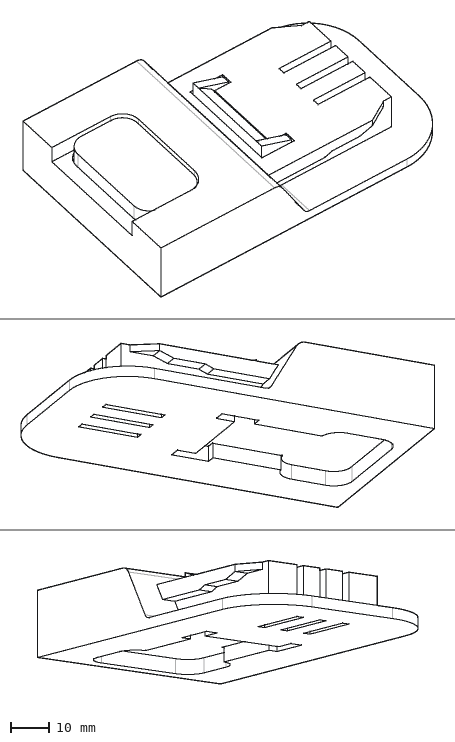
import cadquery as cq
import math

WIDTH = 60.0
LENGTH = 98.0
HEIGHT = 18.0
PLATE_THICKNESS = 2.9
PLATE_CORNER_RADIUS = 16.9
SLOPE_FOOT_Y = 47.8
SLOPE_ANGLE = 60.0
SLOPE_FOOT_RADIUS = 2.0
SLOPE_CREST_RADIUS = 2.9
SLOPE_RUN = (HEIGHT - PLATE_THICKNESS) / math.tan(math.radians(SLOPE_ANGLE))
SLOPE_CREST_Y = SLOPE_FOOT_Y - SLOPE_RUN

RAIL_TOP = 13.9
RAIL_END_Y = 85.2
RAIL_CORE_HALF_WIDTH = 17.8
RAIL_HEAD_HALF_WIDTH = 21.9
HEAD_TAPER_START_Y = 82.6
HEAD_TAPER_END_Y = 75.9
HEAD_TIP_BOTTOM = 12.0
HEAD_MIDDLE_BOTTOM = 10.5
HEAD_ROOT_BOTTOM = 9.5
HEAD_MIDDLE_END_Y = 71.7
HEAD_MIDDLE_START_Y = 62.6
HEAD_ROOT_END_Y = 60.2
RAIL_START_Y = SLOPE_CREST_Y

CONTACT_COUNT = 3
CONTACT_WIDTH = 2.1
CONTACT_PITCH = 7.4
CONTACT_START_Y = 68.1

CLEARANCE = 0.4
SIDE_CLEARANCE = 0.7
LATCH_BOTTOM = 3.9
BUTTON_HALF_WIDTH = 17.1
BUTTON_START_Y = 4.6
BUTTON_END_Y = 24.2
BUTTON_TOP = 17.0
BUTTON_CORNER_RADIUS = 4.9
BUTTON_RECESS_FLOOR = 12.8
HOOK_HALF_WIDTH = 14.9
HOOK_INNER_HALF_WIDTH = 12.4
HOOK_START_Y = 44.6
HOOK_BAR_END_Y = 48.9
HOOK_PRONG_END_Y = 54.5
HOOK_TOP = 17.4
HOOK_BAR_FRONT_TOP = 14.6
ARM_HALF_WIDTH = HOOK_INNER_HALF_WIDTH
ARM_TOP = 7.8


def block(half_width, y_start, y_end, z_bottom, z_top):
    """Make a box centred on X = 0."""
    size = (2 * half_width, y_end - y_start, z_top - z_bottom)
    return cq.Workplane("XY").box(*size, centered=(True, False, False)).translate((0, y_start, z_bottom))


def side_prism(points, half_width):
    """Extrude an outline of (Y, Z) points symmetrically along X."""
    return cq.Workplane("YZ").polyline(points).close().extrude(half_width, both=True)


def button_prism(clearance, z_bottom, z_top):
    """Make the rounded button shape, grown outward by a clearance."""
    return (
        block(BUTTON_HALF_WIDTH + clearance, BUTTON_START_Y - clearance, BUTTON_END_Y + clearance,
              z_bottom, z_top)
        .edges("|Z")
        .fillet(BUTTON_CORNER_RADIUS + clearance)
    )


def make_base():
    profile = [
        (0, 0),
        (LENGTH, 0),
        (LENGTH, PLATE_THICKNESS),
        (SLOPE_FOOT_Y, PLATE_THICKNESS),
        (SLOPE_CREST_Y, HEIGHT),
        (0, HEIGHT),
    ]
    base = side_prism(profile, WIDTH / 2)
    base = base.edges(cq.selectors.NearestToPointSelector((0, SLOPE_FOOT_Y, PLATE_THICKNESS)))
    base = base.fillet(SLOPE_FOOT_RADIUS)
    base = base.edges(cq.selectors.NearestToPointSelector((0, SLOPE_CREST_Y, HEIGHT)))
    base = base.fillet(SLOPE_CREST_RADIUS)
    return base.edges("|Z and >Y").fillet(PLATE_CORNER_RADIUS)


def make_rail():
    core = block(RAIL_CORE_HALF_WIDTH, RAIL_START_Y, RAIL_END_Y, 0, RAIL_TOP)
    head_side = [
        (RAIL_START_Y, RAIL_TOP),
        (HEAD_TAPER_START_Y, RAIL_TOP),
        (HEAD_TAPER_START_Y, HEAD_TIP_BOTTOM),
        (HEAD_TAPER_END_Y, HEAD_TIP_BOTTOM),
        (HEAD_MIDDLE_END_Y, HEAD_MIDDLE_BOTTOM),
        (HEAD_MIDDLE_START_Y, HEAD_MIDDLE_BOTTOM),
        (HEAD_ROOT_END_Y, HEAD_ROOT_BOTTOM),
        (RAIL_START_Y, HEAD_ROOT_BOTTOM),
    ]
    head_plan = [
        (-RAIL_HEAD_HALF_WIDTH, RAIL_START_Y),
        (RAIL_HEAD_HALF_WIDTH, RAIL_START_Y),
        (RAIL_HEAD_HALF_WIDTH, HEAD_TAPER_END_Y),
        (RAIL_CORE_HALF_WIDTH, HEAD_TAPER_START_Y),
        (-RAIL_CORE_HALF_WIDTH, HEAD_TAPER_START_Y),
        (-RAIL_HEAD_HALF_WIDTH, HEAD_TAPER_END_Y),
    ]
    plan_prism = cq.Workplane("XY").polyline(head_plan).close().extrude(HEIGHT)
    head = side_prism(head_side, RAIL_HEAD_HALF_WIDTH).intersect(plan_prism)
    return core.union(head)


def cut_contact_slots(body):
    slot = block(CONTACT_WIDTH / 2, CONTACT_START_Y, RAIL_END_Y, 0, RAIL_TOP)
    for index in range(CONTACT_COUNT):
        x = (index - (CONTACT_COUNT - 1) / 2) * CONTACT_PITCH
        body = body.cut(slot.translate((x, 0, 0)))
    return body


def cut_button_opening(body):
    hole = button_prism(CLEARANCE, 0, HEIGHT)
    recess_end_y = (BUTTON_START_Y + BUTTON_END_Y) / 2
    recess = block(BUTTON_HALF_WIDTH + CLEARANCE, 0, recess_end_y, BUTTON_RECESS_FLOOR, HEIGHT)
    return body.cut(hole).cut(recess)


def cut_hook_opening(body):
    opening = block(HOOK_HALF_WIDTH + SIDE_CLEARANCE, HOOK_START_Y - CLEARANCE,
                    HOOK_PRONG_END_Y + CLEARANCE, 0, RAIL_TOP)
    tongue = block(HOOK_INNER_HALF_WIDTH - CLEARANCE, HOOK_BAR_END_Y + SIDE_CLEARANCE,
                   HOOK_PRONG_END_Y + CLEARANCE, 0, RAIL_TOP)
    return body.cut(opening.cut(tongue))


def cut_arm_channel(body):
    channel = block(ARM_HALF_WIDTH + CLEARANCE, BUTTON_END_Y, HOOK_START_Y, 0, ARM_TOP + CLEARANCE)
    return body.cut(channel)


def make_housing():
    body = make_base().union(make_rail())
    body = cut_contact_slots(body)
    body = cut_button_opening(body)
    body = cut_hook_opening(body)
    return cut_arm_channel(body)


def make_hook():
    prong_side = [
        (HOOK_START_Y, LATCH_BOTTOM),
        (HOOK_PRONG_END_Y, LATCH_BOTTOM),
        (HOOK_PRONG_END_Y, RAIL_TOP),
        (HOOK_START_Y, HOOK_TOP),
    ]
    bar_side = [
        (HOOK_START_Y, LATCH_BOTTOM),
        (HOOK_BAR_END_Y, LATCH_BOTTOM),
        (HOOK_BAR_END_Y, HOOK_BAR_FRONT_TOP),
        (HOOK_START_Y, HOOK_TOP),
    ]
    prong_gap = block(HOOK_INNER_HALF_WIDTH, HOOK_START_Y, HOOK_PRONG_END_Y, 0, HEIGHT)
    prongs = side_prism(prong_side, HOOK_HALF_WIDTH).cut(prong_gap)
    bar = side_prism(bar_side, HOOK_INNER_HALF_WIDTH)
    return bar.union(prongs)


def make_latch():
    button = button_prism(0, LATCH_BOTTOM, BUTTON_TOP)
    arm_start_y = BUTTON_END_Y - BUTTON_CORNER_RADIUS
    arm = block(ARM_HALF_WIDTH, arm_start_y, HOOK_START_Y, LATCH_BOTTOM, ARM_TOP)
    return button.union(arm).union(make_hook())


housing = make_housing()
latch = make_latch()
result = cq.Compound.makeCompound([housing.val(), latch.val()])